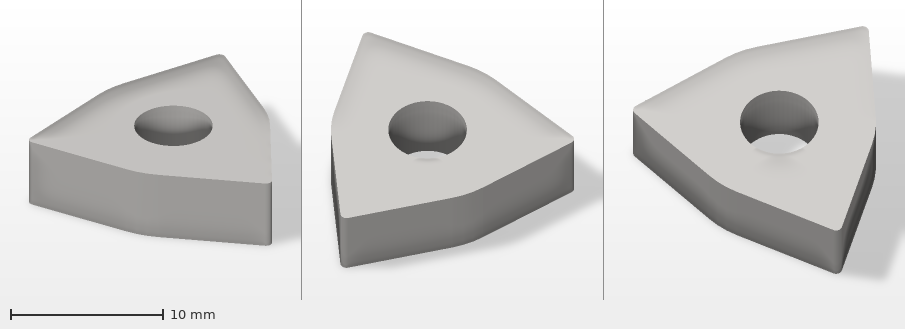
import cadquery as cq
import math

overall_length = 16.59
thickness = 4.76
hole_diameter = 5.16
nose_radius = 0.4
corner_angle = 80.0
corner_directions = (220.0, 340.0, 100.0)

half_corner = corner_angle / 2
corner_spacing = 360.0 / len(corner_directions)
normal_offset = 90.0 - half_corner


def polar(radius, angle, center=(0.0, 0.0)):
    """Point at a radius and an angle in degrees about a center."""
    radians = math.radians(angle)
    return (center[0] + radius * math.cos(radians), center[1] + radius * math.sin(radians))


left_direction, right_direction, _ = corner_directions
nose_span = overall_length - 2 * nose_radius
nose_distance = nose_span / (polar(1, right_direction)[0] - polar(1, left_direction)[0])
inscribed_radius = nose_radius + nose_distance * math.sin(math.radians(half_corner))


def insert_outline():
    """Straight edges joining the noses to arcs of the inscribed circle."""
    first_normal = corner_directions[0] - normal_offset
    outline = cq.Workplane("XY").moveTo(*polar(inscribed_radius, first_normal))
    for direction in corner_directions:
        nose_center = polar(nose_distance, direction)
        entry_normal = direction - normal_offset
        exit_normal = direction + normal_offset
        next_entry_normal = direction + corner_spacing - normal_offset
        arc_middle = (exit_normal + next_entry_normal) / 2
        outline = (
            outline.lineTo(*polar(nose_radius, entry_normal, nose_center))
            .threePointArc(
                polar(nose_radius, direction, nose_center),
                polar(nose_radius, exit_normal, nose_center),
            )
            .lineTo(*polar(inscribed_radius, exit_normal))
            .threePointArc(
                polar(inscribed_radius, arc_middle),
                polar(inscribed_radius, next_entry_normal),
            )
        )
    return outline.close()


body = insert_outline().extrude(thickness)
result = body.faces(">Z").workplane(origin=(0, 0, thickness)).hole(hole_diameter)